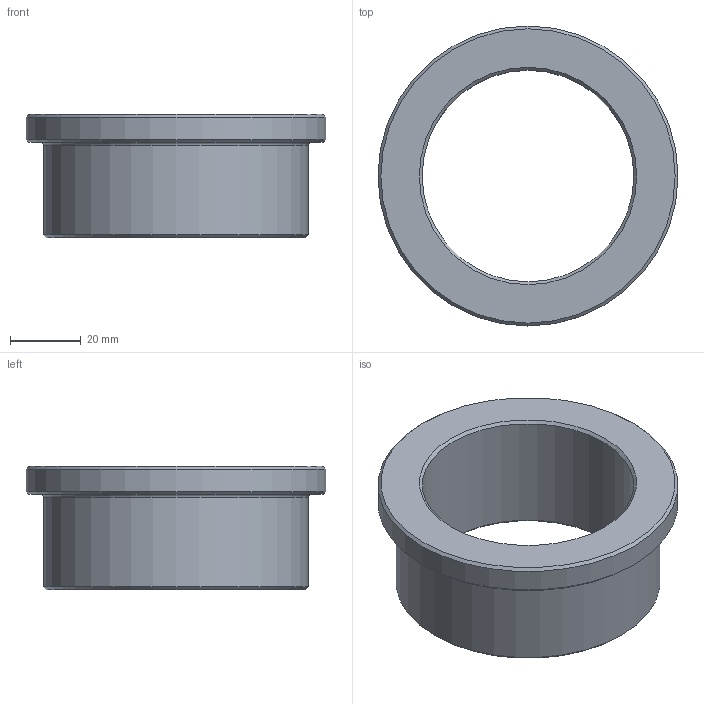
import cadquery as cq

flange_diameter = 85.0
sleeve_diameter = 75.0
bore_diameter = 60.0
total_height = 35.0
flange_thickness = 8.0
edge_chamfer = 0.8
neck_fillet = 0.8

sleeve_height = total_height - flange_thickness


def make_sleeve():
    """Cylinder standing on Z = 0 with its lower rim chamfered."""
    sleeve = cq.Workplane("XY").circle(sleeve_diameter / 2).extrude(sleeve_height)
    return sleeve.faces("<Z").chamfer(edge_chamfer)


def make_flange():
    """Wider disc on top of the sleeve with both rims chamfered."""
    flange_base = cq.Workplane("XY", origin=(0, 0, sleeve_height))
    flange = flange_base.circle(flange_diameter / 2).extrude(flange_thickness)
    return flange.faces("<Z or >Z").chamfer(edge_chamfer)


def round_neck(body):
    """Fillet the inside corner where the sleeve meets the flange."""
    flange_underside = body.faces("|Z").faces("<Z[1]")
    neck_edge = cq.selectors.RadiusNthSelector(0)
    return flange_underside.edges(neck_edge).fillet(neck_fillet)


def cut_bore(body):
    """Bore through the full height with a chamfered mouth at both ends."""
    bore = cq.Workplane("XY").circle(bore_diameter / 2).extrude(total_height)
    mouth_edges = cq.selectors.RadiusNthSelector(0)
    return body.cut(bore).faces("<Z or >Z").edges(mouth_edges).chamfer(edge_chamfer)


result = cut_bore(round_neck(make_sleeve().union(make_flange())))